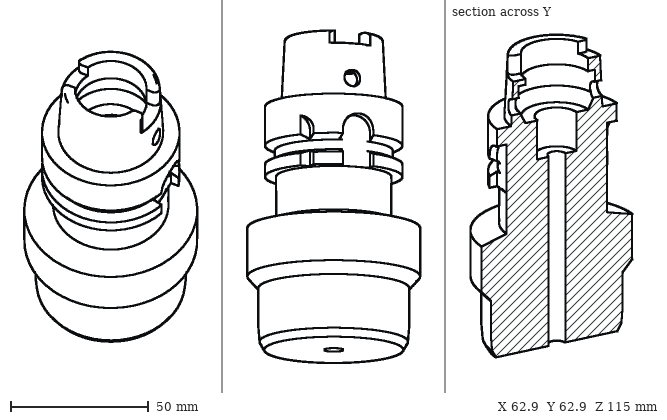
import cadquery as cq
import math

length = 115.0

shank_length = 25.0
shank_base_radius = 19.1
shank_taper = 1 / 20
shank_tip_radius = shank_base_radius - shank_taper * shank_length
rim_round = 1.0

flange_radius = 50.0 / 2
groove_radius = 21.5
flange_edge_depth = 39.5
groove_top_depth = 41.3
groove_bottom_depth = 44.8
collar_edge_depth = 46.3
collar_bottom_depth = 51.0

neck_radius = 42.0 / 2
neck_bottom_depth = 67.0
body_radius = 62.9 / 2
body_top_depth = 69.9
body_bottom_depth = 87.9
nose_radius = 27.5
nose_top_depth = 92.2
nose_taper_depth = 106.5
nose_edge_radius = 27.0
nose_edge_depth = 112.0
nose_tip_radius = 25.3

mouth_radius = 13.0
mouth_depth = 10.0
undercut_radius = 15.8
undercut_depth = 19.5
cavity_depth = shank_length
pilot_radius = 8.0
pilot_depth = 40.2
through_radius = 3.5

slot_width = 10.6
slot_corner_radius = 1.8
shallow_slot_depth = 4.7
deep_slot_depth = 7.6

cross_hole_diameter = 6.1
cross_hole_depth = 17.7

keyway_crown_depth = 32.0
keyway_floor = 20.9
narrow_keyway_width = 11.8
wide_keyway_width = 14.0
notch_floor = 16.0
notch_edge = 15.5
notch_center = notch_edge + narrow_keyway_width / 2


def height(depth):
    """Z of a level given as depth below the top face."""
    return length - depth


def outer_body():
    round_side_radius = shank_tip_radius + shank_taper * rim_round
    round_inset = rim_round * (1 - math.sqrt(0.5))
    return (
        cq.Workplane("XZ")
        .moveTo(0, 0)
        .lineTo(nose_tip_radius, 0)
        .lineTo(nose_edge_radius, height(nose_edge_depth))
        .lineTo(nose_radius, height(nose_taper_depth))
        .lineTo(nose_radius, height(nose_top_depth))
        .lineTo(body_radius, height(body_bottom_depth))
        .lineTo(body_radius, height(body_top_depth))
        .lineTo(neck_radius, height(neck_bottom_depth))
        .lineTo(neck_radius, height(collar_bottom_depth))
        .lineTo(flange_radius, height(collar_bottom_depth))
        .lineTo(flange_radius, height(collar_edge_depth))
        .lineTo(groove_radius, height(groove_bottom_depth))
        .lineTo(groove_radius, height(groove_top_depth))
        .lineTo(flange_radius, height(flange_edge_depth))
        .lineTo(flange_radius, height(shank_length))
        .lineTo(shank_base_radius, height(shank_length))
        .lineTo(round_side_radius, height(rim_round))
        .threePointArc(
            (round_side_radius - round_inset, height(round_inset)),
            (round_side_radius - rim_round, length),
        )
        .lineTo(0, length)
        .close()
        .revolve(360, (0, 0, 0), (0, 1, 0))
    )


def axial_bores():
    return (
        cq.Workplane("XZ")
        .moveTo(0, 0)
        .lineTo(through_radius, 0)
        .lineTo(through_radius, height(pilot_depth))
        .lineTo(pilot_radius, height(pilot_depth))
        .lineTo(pilot_radius, height(cavity_depth))
        .lineTo(mouth_radius, height(cavity_depth))
        .lineTo(undercut_radius, height(undercut_depth))
        .lineTo(undercut_radius, height(mouth_depth))
        .lineTo(mouth_radius, height(mouth_depth))
        .lineTo(mouth_radius, length)
        .lineTo(0, length)
        .close()
        .revolve(360, (0, 0, 0), (0, 1, 0))
    )


def drive_slot(side, depth):
    """Slot open to +X (side = 1) or -X (side = -1), flaring out in rounded corners."""
    half_width = slot_width / 2
    r = slot_corner_radius
    corner_y = half_width + r
    corner_x = math.sqrt((shank_tip_radius - r) ** 2 - corner_y ** 2)
    end_angle = math.atan2(corner_y, corner_x)
    mid_angle = (end_angle - math.pi / 2) / 2
    mid_x = corner_x + r * math.cos(mid_angle)
    mid_y = corner_y + r * math.sin(mid_angle)
    end_x = shank_tip_radius * math.cos(end_angle)
    end_y = shank_tip_radius * math.sin(end_angle)
    outside = flange_radius / shank_tip_radius
    return (
        cq.Workplane("XY", origin=(0, 0, height(depth)))
        .moveTo(0, -half_width)
        .lineTo(side * corner_x, -half_width)
        .threePointArc((side * mid_x, -mid_y), (side * end_x, -end_y))
        .lineTo(side * end_x * outside, -end_y * outside)
        .lineTo(side * end_x * outside, end_y * outside)
        .lineTo(side * end_x, end_y)
        .threePointArc((side * mid_x, mid_y), (side * corner_x, half_width))
        .lineTo(0, half_width)
        .close()
        .extrude(depth)
    )


def cross_hole():
    return (
        cq.Workplane("YZ", origin=(0, 0, height(cross_hole_depth)))
        .circle(cross_hole_diameter / 2)
        .extrude(flange_radius, both=True)
    )


def round_topped_cut(side, floor, center_y, width):
    """Keyway with a round top, cut from the +X or -X side down to the collar underside."""
    half_width = width / 2
    arc_center = height(keyway_crown_depth + half_width)
    return (
        cq.Workplane("YZ", origin=(side * floor, center_y, 0))
        .moveTo(-half_width, height(collar_bottom_depth))
        .lineTo(half_width, height(collar_bottom_depth))
        .lineTo(half_width, arc_center)
        .threePointArc((0, height(keyway_crown_depth)), (-half_width, arc_center))
        .close()
        .extrude(side * flange_radius)
    )


result = (
    outer_body()
    .cut(axial_bores())
    .cut(drive_slot(-1, shallow_slot_depth))
    .cut(drive_slot(1, deep_slot_depth))
    .cut(cross_hole())
    .cut(round_topped_cut(-1, keyway_floor, 0, narrow_keyway_width))
    .cut(round_topped_cut(1, keyway_floor, 0, wide_keyway_width))
    .cut(round_topped_cut(-1, notch_floor, notch_center, narrow_keyway_width))
)